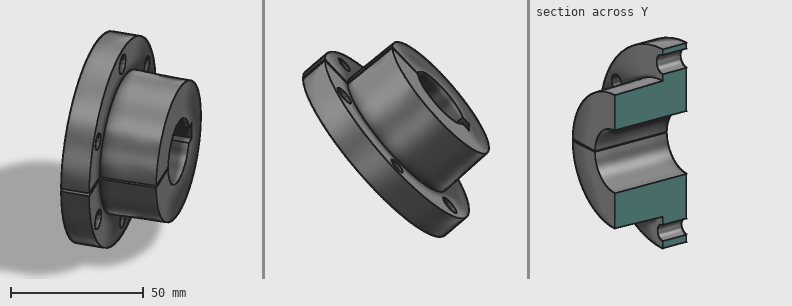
import cadquery as cq
import math

flange_diameter = 81.0
flange_thickness = 11.2
total_length = 33.35
hub_length = total_length - flange_thickness
hub_base_diameter = 55.4
hub_end_diameter = 54.25

bore_diameter = 25.4
keyway_width = 6.6
keyway_depth_from_axis = 16.0
slit_outer_width = 1.3
slit_inner_width = 0.3

bolt_circle_diameter = 68.3
large_hole_diameter = 7.6
small_hole_diameter = 6.4
large_hole_start_angle = 90.0
small_hole_start_angle = 30.0
holes_per_set = 3


def make_flange():
    return cq.Workplane("YZ").circle(flange_diameter / 2).extrude(flange_thickness)


def make_hub():
    return (
        cq.Workplane("YZ", origin=(flange_thickness, 0, 0))
        .circle(hub_base_diameter / 2)
        .workplane(offset=hub_length)
        .circle(hub_end_diameter / 2)
        .loft(ruled=True)
    )


def make_bore_and_keyway():
    bore = cq.Workplane("YZ").circle(bore_diameter / 2).extrude(total_length)
    keyway = (
        cq.Workplane("YZ")
        .center(keyway_depth_from_axis / 2, 0)
        .rect(keyway_depth_from_axis, keyway_width)
        .extrude(total_length)
    )
    return bore.union(keyway)


def make_slit():
    """Wedge through the full length, widening from the bore to the flange rim."""
    inner = bore_diameter / 2
    outer = flange_diameter / 2
    overrun = 0.8
    flare = (slit_outer_width - slit_inner_width) / (outer - inner)
    inner_half = (slit_inner_width - flare * overrun) / 2
    outer_half = (slit_outer_width + flare * overrun) / 2
    return (
        cq.Workplane("YZ")
        .polyline([
            (overrun - inner, -inner_half),
            (overrun - inner, inner_half),
            (-outer - overrun, outer_half),
            (-outer - overrun, -outer_half),
        ])
        .close()
        .extrude(total_length)
    )


def make_flange_holes(diameter, start_angle):
    return (
        cq.Workplane("YZ")
        .polarArray(bolt_circle_diameter / 2, start_angle, 360, holes_per_set)
        .circle(diameter / 2)
        .extrude(flange_thickness)
    )


result = (
    make_flange()
    .union(make_hub())
    .cut(make_bore_and_keyway())
    .cut(make_slit())
    .cut(make_flange_holes(large_hole_diameter, large_hole_start_angle))
    .cut(make_flange_holes(small_hole_diameter, small_hole_start_angle))
)